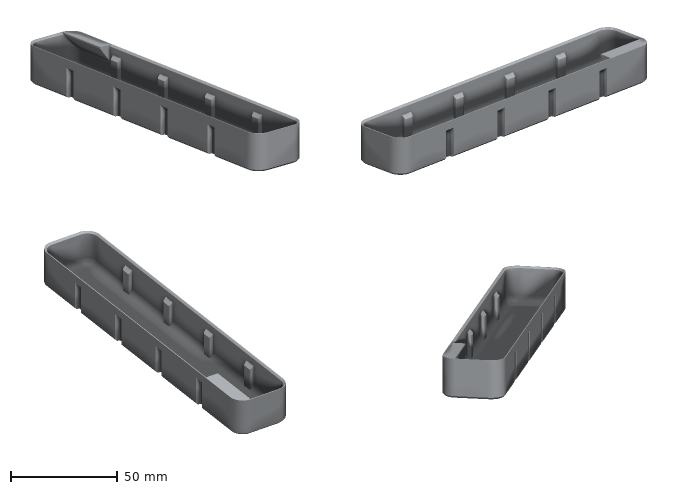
import cadquery as cq
import math

LENGTH = 169.25
WIDTH = 30.0
HEIGHT = 19.2
CORNER_RADIUS = 7.0
BOTTOM_CHAMFER = 1.0

WALL = 1.2
FLOOR = 1.0
FLOOR_FILLET = 4.0
RIM_LAND = 0.4

CHANNEL_COUNT = 4
CHANNEL_PITCH = 34.2
CHANNEL_SIDE_TAPER = 0.15
GROOVE_WIDTH = 5.2
GROOVE_DEPTH = 2.5
GROOVE_TOP = 15.1
RIB_SHELL = 0.5
RIB_CORNER_RADIUS = 0.7

TAB_LENGTH = 28
TAB_WIDTH = 7.0
TAB_TIP_THICKNESS = 0.8
TAB_ROOT_THICKNESS = 8.2


def rounded_block(length, width, height, radius, base_z):
    """Upright block with rounded vertical edges, centred on the Z axis."""
    block = cq.Workplane("XY").workplane(offset=base_z).rect(length, width).extrude(height)
    return block.edges("|Z").fillet(radius)


def make_envelope():
    """Solid outer form with its bevelled bottom edge."""
    block = rounded_block(LENGTH, WIDTH, HEIGHT, CORNER_RADIUS, 0)
    return block.faces("<Z").edges().chamfer(BOTTOM_CHAMFER)


def make_cavity():
    """Inside space of the tray, rounded at the floor and flared at 45 degrees to the rim."""
    block = rounded_block(
        LENGTH - 2 * WALL, WIDTH - 2 * WALL, HEIGHT - FLOOR, CORNER_RADIUS - WALL, FLOOR
    )
    block = block.faces("<Z").edges().fillet(FLOOR_FILLET)
    flare_size = WALL - RIM_LAND
    flare = rounded_block(
        LENGTH - 2 * RIM_LAND,
        WIDTH - 2 * RIM_LAND,
        2 * flare_size,
        CORNER_RADIUS - RIM_LAND,
        HEIGHT - flare_size,
    )
    flare = flare.faces("<Z").edges().chamfer(flare_size)
    return block.union(flare)


def make_channel_bar(width, depth, top):
    """Upright bar set into the front wall, tapering inwards, its roof falling inwards at 45 degrees."""
    front = -WIDTH / 2
    mouth_half = width / 2
    inner_half = mouth_half - CHANNEL_SIDE_TAPER * depth
    plan = (
        cq.Workplane("XY")
        .moveTo(-mouth_half, front)
        .lineTo(mouth_half, front)
        .lineTo(inner_half, front + depth)
        .lineTo(-inner_half, front + depth)
        .close()
        .extrude(top)
    )
    profile = (
        cq.Workplane("YZ")
        .moveTo(front, 0)
        .lineTo(front, top)
        .lineTo(front + depth, top - depth)
        .lineTo(front + depth, 0)
        .close()
        .extrude(mouth_half, both=True)
    )
    return plan.intersect(profile)


def place_channels(bar):
    """Copies of a bar at every channel position along both long walls."""
    placed = cq.Workplane("XY")
    for index in range(CHANNEL_COUNT):
        x = (index - (CHANNEL_COUNT - 1) / 2) * CHANNEL_PITCH
        front_bar = bar.translate((x, 0, 0))
        placed = placed.add(front_bar).add(front_bar.mirror("XZ"))
    return placed.combine()


def make_grooves():
    """Outside grooves, open at the bottom of the tray."""
    return place_channels(make_channel_bar(GROOVE_WIDTH, GROOVE_DEPTH, GROOVE_TOP))


def make_ribs():
    """Inside ribs that keep a thin shell of material behind the grooves."""
    bar = make_channel_bar(
        GROOVE_WIDTH + 2 * RIB_SHELL,
        GROOVE_DEPTH + RIB_SHELL,
        GROOVE_TOP + RIB_SHELL * math.sqrt(2),
    )
    bar = bar.faces(">Y").edges("|Z").fillet(RIB_CORNER_RADIUS)
    return place_channels(bar)


def make_tab():
    """Tab flush with the rim, thickening from its free edge to the rear wall."""
    wall_face = WIDTH / 2 - WALL
    free_edge = WIDTH / 2 - TAB_WIDTH
    return (
        cq.Workplane("YZ")
        .moveTo(WIDTH / 2, HEIGHT)
        .lineTo(free_edge, HEIGHT)
        .lineTo(free_edge, HEIGHT - TAB_TIP_THICKNESS)
        .lineTo(wall_face, HEIGHT - TAB_ROOT_THICKNESS)
        .lineTo(WIDTH / 2, HEIGHT - TAB_ROOT_THICKNESS)
        .close()
        .extrude(TAB_LENGTH)
        .translate((-LENGTH / 2, 0, 0))
    )


envelope = make_envelope()
tray = envelope.cut(make_cavity())
inner_features = make_ribs().union(make_tab()).intersect(envelope)
result = tray.union(inner_features).cut(make_grooves())